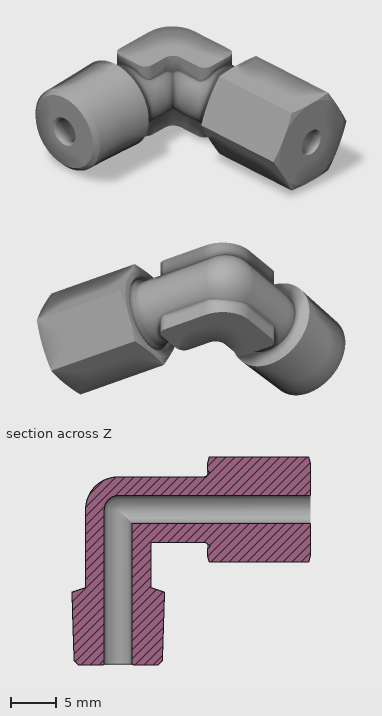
import math
import cadquery as cq

arm_radius = 7.2 / 2
bore_radius = 3.0 / 2

plug_end = 17.0
plug_shoulder = 9.0
shoulder_height = 0.5
plug_large_radius = 10.16 / 2
thread_taper = 1 / 16
plug_chamfer = 0.5
bore_chamfer = 0.2

nut_start = 9.7
nut_end = 21.0
nut_across_flats = 10.0
nut_corner_radius = nut_across_flats / math.sqrt(3)
nut_face_radius = 5.0
nut_chamfer_angle = math.radians(15)
nut_chamfer = (nut_corner_radius - nut_face_radius) * math.tan(nut_chamfer_angle)
countersink_radius = 4.3

flare_start = 9.35
flare_fillet = 0.45
flare_angle = math.radians(40)
flare_end_radius = 4.0
cone_start = flare_start + flare_fillet * math.sin(flare_angle)
cone_start_radius = arm_radius + flare_fillet * (1 - math.cos(flare_angle))
flare_end = cone_start + (flare_end_radius - cone_start_radius) / math.tan(flare_angle)

pad_half_height = 4.5
pad_half_width = 2.45
pad_reach_x = 7.3
pad_reach_y = 6.73
pad_tip_fillet = 1.0
pad_inner_fillet = 1.2
pad_outer_fillet = 3.4


def revolve_about_x(profile):
    return profile.close().revolve(360, (0, 0, 0), (1, 0, 0))


def revolve_about_y(profile):
    return profile.close().revolve(360, (0, 0, 0), (0, 1, 0))


def elbow_solid(radius, length_x, length_y):
    """Two round legs along +X and -Y, joined by a ball at the corner."""
    leg_x = cq.Workplane("YZ").circle(radius).extrude(length_x)
    leg_y = cq.Workplane("XZ").circle(radius).extrude(length_y)
    ball = cq.Workplane("XY").sphere(radius)
    return leg_x.union(leg_y).union(ball)


def make_plug():
    cone_length = plug_end - plug_shoulder
    tip_radius = plug_large_radius - cone_length * thread_taper / 2
    chamfer_radius = plug_large_radius - (cone_length - plug_chamfer) * thread_taper / 2
    return revolve_about_y(
        cq.Workplane("XY")
        .moveTo(0, -plug_shoulder + shoulder_height)
        .lineTo(arm_radius, -plug_shoulder + shoulder_height)
        .lineTo(plug_large_radius, -plug_shoulder)
        .lineTo(chamfer_radius, -plug_end + plug_chamfer)
        .lineTo(tip_radius - plug_chamfer, -plug_end)
        .lineTo(0, -plug_end)
    )


def make_nut():
    """Hexagon with corners on +Y and -Y, both ends chamfered and the inner end countersunk."""
    hexagon = (
        cq.Workplane("YZ")
        .workplane(offset=nut_start)
        .polygon(6, 2 * nut_corner_radius)
        .extrude(nut_end - nut_start)
    )
    chamfer_envelope = revolve_about_x(
        cq.Workplane("XY")
        .moveTo(nut_start, 0)
        .lineTo(nut_start, nut_face_radius)
        .lineTo(nut_start + nut_chamfer, nut_corner_radius)
        .lineTo(nut_end - nut_chamfer, nut_corner_radius)
        .lineTo(nut_end, nut_face_radius)
        .lineTo(nut_end, 0)
    )
    countersink = revolve_about_x(
        cq.Workplane("XY")
        .moveTo(nut_start, 0)
        .lineTo(nut_start, countersink_radius)
        .lineTo(flare_end, flare_end_radius)
        .lineTo(flare_end, 0)
    )
    return hexagon.intersect(chamfer_envelope).cut(countersink)


def make_flare():
    """Arm end that widens to meet the bottom of the nut's countersink."""
    half_angle = flare_angle / 2
    fillet_middle = (
        flare_start + flare_fillet * math.sin(half_angle),
        arm_radius + flare_fillet * (1 - math.cos(half_angle)),
    )
    return revolve_about_x(
        cq.Workplane("XY")
        .moveTo(flare_start, 0)
        .lineTo(flare_start, arm_radius)
        .threePointArc(fillet_middle, (cone_start, cone_start_radius))
        .lineTo(flare_end, flare_end_radius)
        .lineTo(flare_end, 0)
    )


def make_pads():
    """L-shaped prism through the elbow; its two ends stand out as the pads."""
    tips = [
        (pad_reach_x, pad_half_width),
        (pad_reach_x, -pad_half_width),
        (pad_half_width, -pad_reach_y),
        (-pad_half_width, -pad_reach_y),
    ]
    inner_corner = (pad_half_width, -pad_half_width)
    outer_corner = (-pad_half_width, pad_half_width)
    outline = [outer_corner] + tips[:2] + [inner_corner] + tips[2:]
    pads = (
        cq.Workplane("XY")
        .workplane(offset=-pad_half_height)
        .polyline(outline)
        .close()
        .extrude(2 * pad_half_height)
    )

    def round_corners(body, corners, radius):
        for x, y in corners:
            body = body.edges(cq.selectors.NearestToPointSelector((x, y, 0))).fillet(radius)
        return body

    pads = round_corners(pads, tips, pad_tip_fillet)
    pads = round_corners(pads, [inner_corner], pad_inner_fillet)
    return round_corners(pads, [outer_corner], pad_outer_fillet)


def make_bore():
    """Passage through both arms, with a chamfered mouth in the plug."""
    mouth = revolve_about_y(
        cq.Workplane("XY")
        .moveTo(0, -plug_end)
        .lineTo(bore_radius + bore_chamfer, -plug_end)
        .lineTo(bore_radius, -plug_end + bore_chamfer)
        .lineTo(0, -plug_end + bore_chamfer)
    )
    return elbow_solid(bore_radius, nut_end, plug_end).union(mouth)


result = (
    elbow_solid(arm_radius, flare_end, plug_shoulder)
    .union(make_pads())
    .union(make_plug())
    .union(make_flare())
    .union(make_nut())
    .cut(make_bore())
)